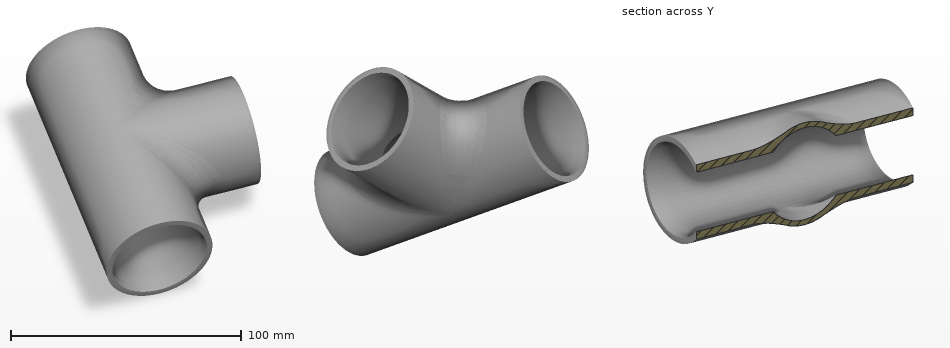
import cadquery as cq
import math

run_length = 114.0
branch_length = 57.0
outer_diameter = 48.3
bore_diameter = 43.1
crotch_radius = 14.8

outer_radius = outer_diameter / 2
crotch_center = outer_radius + crotch_radius

pole_angles = (-90, 90)
blend_sections = 9
sewing_tolerance = 0.001


def tee_body(diameter):
    """Run and branch cylinders of one diameter, joined."""
    run = cq.Workplane("YZ").circle(diameter / 2).extrude(run_length / 2, both=True)
    branch = cq.Workplane("XZ").circle(diameter / 2).extrude(-branch_length)
    return run.union(branch)


def blend_section(arc_angle):
    """Half-ellipse from pole to pole, in a plane through the Z axis.

    It passes through the point of the mid-height arc at arc_angle, and every other level
    is the same arc scaled down with the half-width of the pipe at that level.
    """
    outward = cq.Vector(
        crotch_center - crotch_radius * math.cos(arc_angle),
        crotch_center - crotch_radius * math.sin(arc_angle),
    )
    origin = cq.Vector(0, 0, 0)
    normal = outward.cross(cq.Vector(0, 0, 1))
    return cq.Edge.makeEllipse(outward.Length, outer_radius, origin, normal, outward, *pole_angles)


def side_face(section):
    """Flat face between a half-ellipse and the Z axis."""
    axis_line = cq.Edge.makeLine(section.endPoint(), section.startPoint())
    return cq.Face.makeFromWires(cq.Wire.assembleEdges([section, axis_line]))


def crotch_filler():
    """Wedge that fills the crotch on the +X side of the branch."""
    last = blend_sections - 1
    sections = [blend_section(math.pi / 2 * i / last) for i in range(blend_sections)]
    blend = cq.occ_impl.shapes.loft(*sections)
    sides = [side_face(sections[0]), side_face(sections[-1])]
    return cq.occ_impl.shapes.solid(blend, *sides, tol=sewing_tolerance)


filler = cq.Workplane(obj=crotch_filler())
outer = tee_body(outer_diameter).union(filler).union(filler.mirror("YZ"))
result = outer.cut(tee_body(bore_diameter))